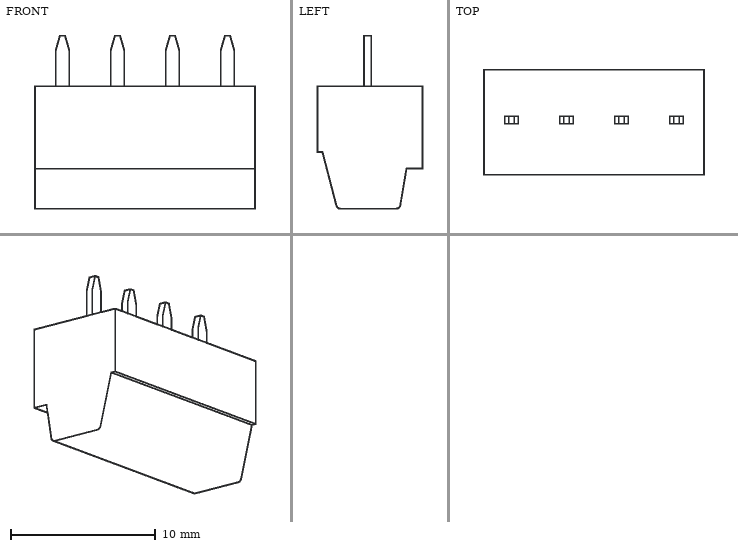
import cadquery as cq

length = 15.24
width = 7.3
overall_height = 12.0
pin_height = 3.49
housing_height = overall_height - pin_height

front_ledge_z = 2.79
front_ledge_depth = 1.11
front_bottom_inset = 1.58
back_ledge_z = 3.92
back_ledge_depth = 0.35
back_bottom_inset = 1.37
bottom_edge_radius = 0.3

pin_count = 4
pin_pitch = length / pin_count
pin_width = 0.95
pin_thickness = 0.52
pin_tip_width = 0.37
pin_taper_height = 1.0
pin_y = 3.81


def make_housing():
    """Extrude the stepped and tapered cross-section along X, with rounded bottom edges."""
    profile = [
        (front_bottom_inset, 0),
        (front_ledge_depth, front_ledge_z),
        (0, front_ledge_z),
        (0, housing_height),
        (width, housing_height),
        (width, back_ledge_z),
        (width - back_ledge_depth, back_ledge_z),
        (width - back_bottom_inset, 0),
    ]
    body = cq.Workplane("YZ").polyline(profile).close().extrude(length / 2, both=True)
    return body.faces("<Z").edges("|X").fillet(bottom_edge_radius)


def make_pin(x):
    """Flat pin standing on the housing top, tapered in X towards its tip."""
    shoulder_z = overall_height - pin_taper_height
    outline = [
        (x - pin_width / 2, housing_height),
        (x + pin_width / 2, housing_height),
        (x + pin_width / 2, shoulder_z),
        (x + pin_tip_width / 2, overall_height),
        (x - pin_tip_width / 2, overall_height),
        (x - pin_width / 2, shoulder_z),
    ]
    plane = cq.Workplane("XZ", origin=(0, pin_y, 0))
    return plane.polyline(outline).close().extrude(pin_thickness / 2, both=True)


result = make_housing()
for index in range(pin_count):
    pin_x = (index - (pin_count - 1) / 2) * pin_pitch
    result = result.union(make_pin(pin_x))